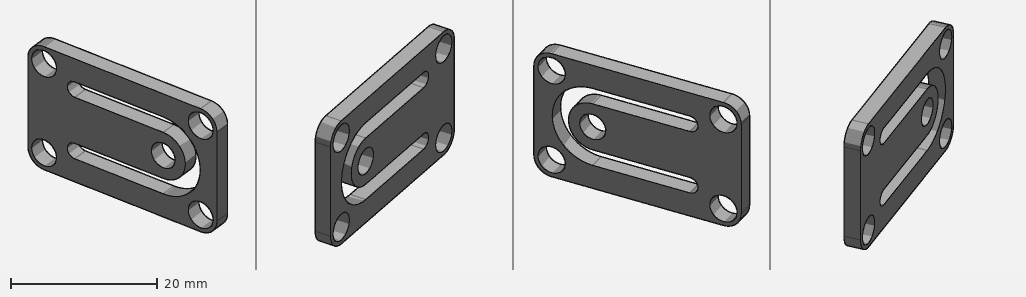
import cadquery as cq

length = 32.0
thickness = 2.5
height = 20.0
back_face = (0, thickness / 2, 0)
corner_radius = 2.75

corner_hole_diameter = 4.2
corner_hole_x = length / 2 - corner_radius
corner_hole_z = height / 2 - corner_radius

slot_width = 2.5
slot_outer_radius = 6.25
slot_inner_radius = slot_outer_radius - slot_width
slot_start_x = -8.05
bend_x = 6.9
tongue_hole_diameter = 4.0


def make_plate():
    plate = cq.Workplane("XY").box(length, thickness, height)
    return plate.edges("|Y").fillet(corner_radius)


def make_slot_cutter():
    middle_radius = (slot_outer_radius + slot_inner_radius) / 2
    end_x = slot_start_x - slot_width / 2
    return (
        cq.Workplane("XZ", origin=back_face)
        .moveTo(slot_start_x, slot_outer_radius)
        .lineTo(bend_x, slot_outer_radius)
        .threePointArc((bend_x + slot_outer_radius, 0), (bend_x, -slot_outer_radius))
        .lineTo(slot_start_x, -slot_outer_radius)
        .threePointArc((end_x, -middle_radius), (slot_start_x, -slot_inner_radius))
        .lineTo(bend_x, -slot_inner_radius)
        .threePointArc((bend_x + slot_inner_radius, 0), (bend_x, slot_inner_radius))
        .lineTo(slot_start_x, slot_inner_radius)
        .threePointArc((end_x, middle_radius), (slot_start_x, slot_outer_radius))
        .close()
        .extrude(thickness)
    )


def make_hole_cutters(centres, diameter):
    holes = cq.Workplane("XZ", origin=back_face).pushPoints(centres).circle(diameter / 2)
    return holes.extrude(thickness)


corner_centres = [
    (side_x * corner_hole_x, side_z * corner_hole_z)
    for side_x in (-1, 1)
    for side_z in (-1, 1)
]

result = (
    make_plate()
    .cut(make_slot_cutter())
    .cut(make_hole_cutters(corner_centres, corner_hole_diameter))
    .cut(make_hole_cutters([(bend_x, 0)], tongue_hole_diameter))
)